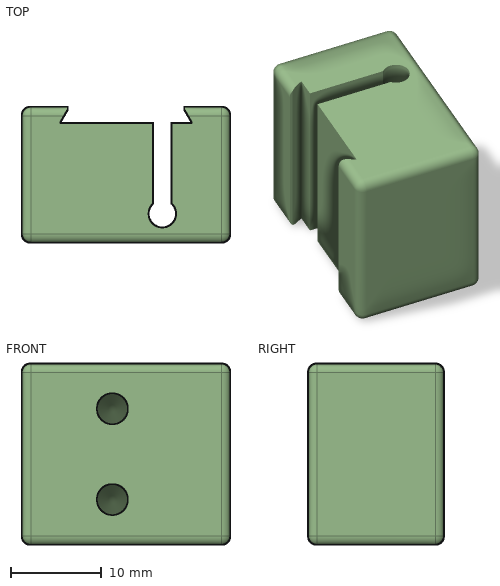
import cadquery as cq
import math

WIDTH = 23.0
DEPTH = 15.0
HEIGHT = 20.0
EDGE_RADIUS = 1.0

CHANNEL_DEPTH = 1.8
CHANNEL_MOUTH_WIDTH = 12.8
CHANNEL_LIP = 0.33
CHANNEL_FLANK_ANGLE = 60.0

SLOT_WIDTH = 2.0
SLOT_X = 4.0
RELIEF_DIAMETER = 3.0
RELIEF_Y = 3.2

HOLE_DIAMETER = 3.42
HOLE_X = -1.5
HOLE_SPACING = 10.0
HOLE_DEPTH = 8.0
DRILL_POINT_ANGLE = 118.0


def make_block():
    """Box with every edge rounded."""
    block = cq.Workplane("XY").box(WIDTH, DEPTH, HEIGHT, centered=(True, False, True))
    return block.edges().fillet(EDGE_RADIUS)


def make_channel():
    """Dovetail prism with short straight lips at its mouth."""
    floor_y = DEPTH - CHANNEL_DEPTH
    lip_y = DEPTH - CHANNEL_LIP
    undercut = (lip_y - floor_y) / math.tan(math.radians(CHANNEL_FLANK_ANGLE))
    mouth_half = CHANNEL_MOUTH_WIDTH / 2
    floor_half = mouth_half + undercut
    outline = [
        (-mouth_half, DEPTH),
        (-mouth_half, lip_y),
        (-floor_half, floor_y),
        (floor_half, floor_y),
        (mouth_half, lip_y),
        (mouth_half, DEPTH),
    ]
    return cq.Workplane("XY").polyline(outline).close().extrude(HEIGHT / 2, both=True)


def make_clamp_slot():
    """Straight slot from the back face to a round relief near the front."""
    slot_length = DEPTH - RELIEF_Y
    slot = cq.Workplane("XY").box(SLOT_WIDTH, slot_length, HEIGHT, centered=(True, False, True))
    slot = slot.translate((SLOT_X, RELIEF_Y, 0))
    relief = cq.Workplane("XY").center(SLOT_X, RELIEF_Y).circle(RELIEF_DIAMETER / 2)
    return slot.union(relief.extrude(HEIGHT / 2, both=True))


def make_drilled_hole(z):
    """Blind hole along Y with a conical drill point, at the given height."""
    radius = HOLE_DIAMETER / 2
    point_length = radius / math.tan(math.radians(DRILL_POINT_ANGLE / 2))
    half_section = [
        (0, 0),
        (radius, 0),
        (radius, HOLE_DEPTH),
        (0, HOLE_DEPTH + point_length),
    ]
    hole = cq.Workplane("XY").polyline(half_section).close().revolve(360, (0, 0, 0), (0, 1, 0))
    return hole.translate((HOLE_X, 0, z))


result = make_block().cut(make_channel()).cut(make_clamp_slot())
for hole_z in (-HOLE_SPACING / 2, HOLE_SPACING / 2):
    result = result.cut(make_drilled_hole(hole_z))